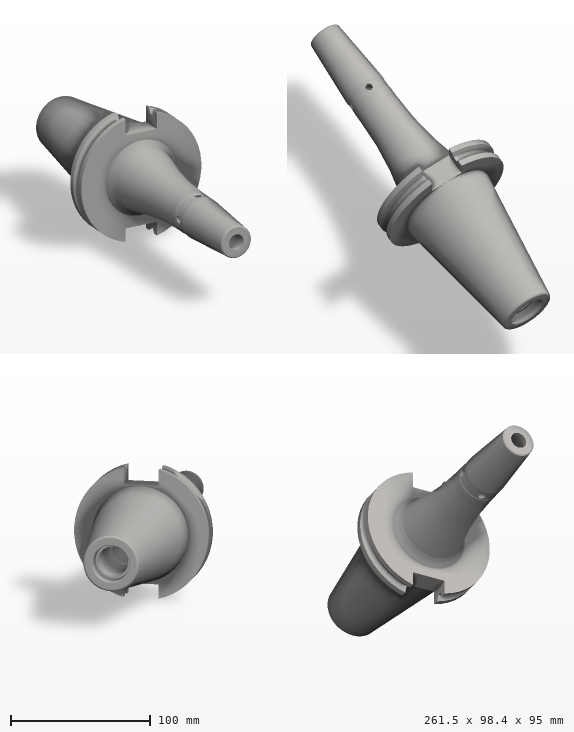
import cadquery as cq
import math

total_length = 261.5

taper_length = 101.8
gauge_radius = 35.0
taper_slope = 7 / 24 / 2
taper_end_radius = gauge_radius - taper_length * taper_slope
taper_end_round = 1.5
relief_radius = 34.8
relief_start = 102.5

flange_start = 104.0
flange_end = 120.5
flange_radius = 49.2
vee_center = 112.5
vee_root_width = 3.5
vee_root_radius = 45.3
vee_wall_run = (flange_radius - vee_root_radius) * math.tan(math.radians(30))
drive_slot_width = 25.6
upper_slot_floor = 35.0
lower_slot_floor = 37.0

fillet_top_radius = 29.0
neck_start = 127.7
neck_radius = 24.3
neck_end = 191.5
shaft_radius = 16.0
band_start = 199.9
band_end = 208.8
band_radius = 15.7
band_shoulder_run = 0.8
nose_start = 210.8
nose_tip_radius = 12.3
nose_tip_chamfer = 0.8

drill_point_slope = math.tan(math.radians(118 / 2))
entry_radius = 13.3
entry_chamfer = 0.5
entry_depth = 6.3
pilot_radius = 26.5 / 2
pilot_depth = 7.8
thread_radius = 22.2 / 2
thread_depth = 47.0
clearance_radius = 18.0 / 2
clearance_depth = 94.2
passage_radius = 9.0 / 2
passage_lead_radius = 12.0 / 2
tool_bore_radius = 12.0 / 2
tool_bore_depth = 52.3

screw_hole_diameter = 5.0
screw_hole_chamfer = 0.5
screw_hole_depth = 6.5
screw_hole_count = 4
screw_hole_x = (band_start + band_end) / 2


def make_body():
    """Revolved outside shape; its outline runs from the nose back to the taper."""
    root_left = vee_center - vee_root_width / 2
    root_right = vee_center + vee_root_width / 2
    chamfer_rise = nose_tip_chamfer * (shaft_radius - nose_tip_radius) / (total_length - nose_start)
    outline = (
        cq.Workplane("XY")
        .moveTo(total_length, 0)
        .lineTo(total_length, nose_tip_radius - nose_tip_chamfer)
        .lineTo(total_length - nose_tip_chamfer, nose_tip_radius + chamfer_rise)
        .lineTo(nose_start, shaft_radius)
        .lineTo(band_end, shaft_radius)
        .lineTo(band_end - band_shoulder_run, band_radius)
        .lineTo(band_start + band_shoulder_run, band_radius)
        .lineTo(band_start, shaft_radius)
        .lineTo(neck_end, shaft_radius)
        .tangentArcPoint((neck_start, neck_radius), relative=False)
        .tangentArcPoint((flange_end, fillet_top_radius), relative=False)
        .lineTo(flange_end, flange_radius)
        .lineTo(root_right + vee_wall_run, flange_radius)
        .lineTo(root_right, vee_root_radius)
        .lineTo(root_left, vee_root_radius)
        .lineTo(root_left - vee_wall_run, flange_radius)
        .lineTo(flange_start, flange_radius)
        .lineTo(flange_start, relief_radius)
        .lineTo(relief_start, relief_radius)
        .lineTo(taper_length, gauge_radius)
        .lineTo(taper_end_round, taper_end_radius + taper_end_round * taper_slope)
        .tangentArcPoint((0, taper_end_radius - taper_end_round), relative=False)
        .lineTo(0, 0)
        .close()
    )
    return outline.revolve(360, (0, 0, 0), (1, 0, 0))


def make_bores():
    """Stepped bore through the whole length, with drill-point cones between the deep steps."""
    thread_cone_end = thread_depth + (thread_radius - clearance_radius) / drill_point_slope
    clearance_cone_end = clearance_depth + (clearance_radius - passage_lead_radius) / drill_point_slope
    tool_bore_start = total_length - tool_bore_depth
    outline = (
        cq.Workplane("XY")
        .moveTo(0, 0)
        .lineTo(0, entry_radius + entry_chamfer)
        .lineTo(entry_chamfer, entry_radius)
        .lineTo(entry_depth, entry_radius)
        .lineTo(entry_depth, pilot_radius)
        .lineTo(pilot_depth, pilot_radius)
        .lineTo(pilot_depth, thread_radius)
        .lineTo(thread_depth, thread_radius)
        .lineTo(thread_cone_end, clearance_radius)
        .lineTo(clearance_depth, clearance_radius)
        .lineTo(clearance_cone_end, passage_lead_radius)
        .lineTo(clearance_cone_end, passage_radius)
        .lineTo(tool_bore_start, passage_radius)
        .lineTo(tool_bore_start, tool_bore_radius)
        .lineTo(total_length, tool_bore_radius)
        .lineTo(total_length, 0)
        .close()
    )
    return outline.revolve(360, (0, 0, 0), (1, 0, 0))


def make_drive_slot(side, floor):
    """Square slot through the flange on the +Z (side = 1) or -Z (side = -1) face."""
    slot_height = flange_radius - floor
    middle_x = (flange_start + flange_end) / 2
    middle_z = side * (floor + slot_height / 2)
    return (
        cq.Workplane("XY")
        .box(flange_end - flange_start, drive_slot_width, slot_height)
        .translate((middle_x, 0, middle_z))
    )


def make_screw_hole(angle):
    """Blind radial hole with a chamfered mouth and a drill-point bottom, turned about the X axis."""
    hole_radius = screw_hole_diameter / 2
    floor_z = band_radius - screw_hole_depth
    point_z = floor_z - hole_radius / drill_point_slope
    hole = (
        cq.Workplane("XZ")
        .moveTo(0, point_z)
        .lineTo(hole_radius, floor_z)
        .lineTo(hole_radius, band_radius - screw_hole_chamfer)
        .lineTo(hole_radius + screw_hole_chamfer, band_radius)
        .lineTo(hole_radius + screw_hole_chamfer, shaft_radius)
        .lineTo(0, shaft_radius)
        .close()
        .revolve(360, (0, 0, 0), (0, 1, 0))
        .translate((screw_hole_x, 0, 0))
    )
    return hole.rotate((0, 0, 0), (1, 0, 0), angle)


result = make_body().cut(make_bores())
result = result.cut(make_drive_slot(1, upper_slot_floor))
result = result.cut(make_drive_slot(-1, lower_slot_floor))
for hole_index in range(screw_hole_count):
    result = result.cut(make_screw_hole(hole_index * 360 / screw_hole_count))